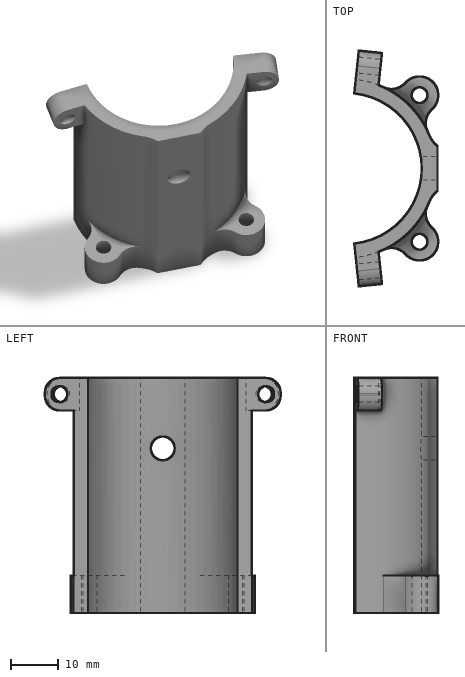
import cadquery as cq
import math

height = 50.0
inner_radius = 16.0
outer_radius = 19.0
end_angle = 6.0

pad_face_x = 19.4
pad_half_width = 4.7
pad_blend_radius = 6.0
pad_blend_angle = 22.2

ear_reach = 25.2
ear_thickness = 5.0
ear_height = 7.0
ear_corner_radius = 3.3
ear_hole_diameter = 3.4
ear_hole_reach = 22.1

lug_height = 8.0
lug_radius = 4.0
lug_blend_radius = 4.0
lug_reach = 22.0
lug_angle = 45.0
lug_hole_diameter = 3.3

pad_hole_diameter = 5.0
pad_hole_depth = 15.0

wall_mid_radius = (inner_radius + outer_radius) / 2


def polar(radius, angle):
    """Point at the given radius and angle (degrees) in the XY plane."""
    return (radius * math.cos(math.radians(angle)), radius * math.sin(math.radians(angle)))


def mirrored(point):
    """Point reflected in the XZ plane."""
    return (point[0], -point[1])


def arc_middle(center, radius, start, end):
    """Middle of the minor arc between two points of a circle."""
    toward = math.atan2(
        (start[1] + end[1]) / 2 - center[1],
        (start[0] + end[0]) / 2 - center[0],
    )
    return (center[0] + radius * math.cos(toward), center[1] + radius * math.sin(toward))


def make_shell():
    """Arc-shaped wall running between the two end faces."""
    half_span = 90 - end_angle
    inner_end = polar(inner_radius, half_span)
    outer_end = polar(outer_radius, half_span)
    return (
        cq.Workplane("XY")
        .moveTo(*inner_end)
        .lineTo(*outer_end)
        .threePointArc((outer_radius, 0), mirrored(outer_end))
        .lineTo(*mirrored(inner_end))
        .threePointArc((inner_radius, 0), inner_end)
        .close()
        .extrude(height)
    )


def make_pad():
    """Full-height flat pad with concave blends at both sides."""
    root = polar(wall_mid_radius, pad_blend_angle)
    blend_start = polar(outer_radius, pad_blend_angle)
    blend_center = polar(outer_radius + pad_blend_radius, pad_blend_angle)
    corner = (pad_face_x, pad_half_width)
    blend_middle = arc_middle(blend_center, pad_blend_radius, blend_start, corner)
    return (
        cq.Workplane("XY")
        .moveTo(*root)
        .lineTo(*blend_start)
        .threePointArc(blend_middle, corner)
        .lineTo(*mirrored(corner))
        .threePointArc(mirrored(blend_middle), mirrored(blend_start))
        .lineTo(*mirrored(root))
        .threePointArc((wall_mid_radius, 0), root)
        .close()
        .extrude(height)
    )


def make_ear():
    """Ear on the +Y end face, drilled square to that face."""
    ear_length = ear_reach - wall_mid_radius
    hole_z = height - ear_height / 2
    ear = (
        cq.Workplane("XY")
        .box(ear_thickness, ear_length, ear_height, centered=False)
        .edges("|X and >Y")
        .fillet(ear_corner_radius)
        .translate((0, wall_mid_radius, height - ear_height))
    )
    hole = (
        cq.Workplane("YZ")
        .center(ear_hole_reach, hole_z)
        .circle(ear_hole_diameter / 2)
        .extrude(ear_thickness)
    )
    return ear.cut(hole).rotate((0, 0, 0), (0, 0, 1), -end_angle)


def make_lug():
    """Round lug on the +Y side, blended into the outer cylinder by concave arcs."""
    blend_reach = outer_radius + lug_blend_radius
    blend_spacing = lug_radius + lug_blend_radius
    blend_offset = math.degrees(math.acos(
        (blend_reach**2 + lug_reach**2 - blend_spacing**2) / (2 * blend_reach * lug_reach)
    ))
    center = (lug_reach, 0)
    blend_center = polar(blend_reach, blend_offset)
    root = polar(wall_mid_radius, blend_offset)
    on_shell = polar(outer_radius, blend_offset)
    share = lug_radius / blend_spacing
    on_lug = (
        center[0] + share * (blend_center[0] - center[0]),
        center[1] + share * (blend_center[1] - center[1]),
    )
    blend_middle = arc_middle(blend_center, lug_blend_radius, on_shell, on_lug)
    return (
        cq.Workplane("XY")
        .moveTo(*root)
        .lineTo(*on_shell)
        .threePointArc(blend_middle, on_lug)
        .threePointArc((lug_reach + lug_radius, 0), mirrored(on_lug))
        .threePointArc(mirrored(blend_middle), mirrored(on_shell))
        .lineTo(*mirrored(root))
        .threePointArc((wall_mid_radius, 0), root)
        .close()
        .moveTo(*center)
        .circle(lug_hole_diameter / 2)
        .extrude(lug_height)
        .rotate((0, 0, 0), (0, 0, 1), lug_angle)
    )


def make_pad_hole():
    """Cutter for the radial hole along +X."""
    return (
        cq.Workplane("YZ")
        .center(0, height - pad_hole_depth)
        .circle(pad_hole_diameter / 2)
        .extrude(pad_face_x)
    )


result = make_shell().union(make_pad())
for side_feature in (make_ear(), make_lug()):
    result = result.union(side_feature)
    result = result.union(side_feature.mirror("XZ"))
result = result.cut(make_pad_hole())